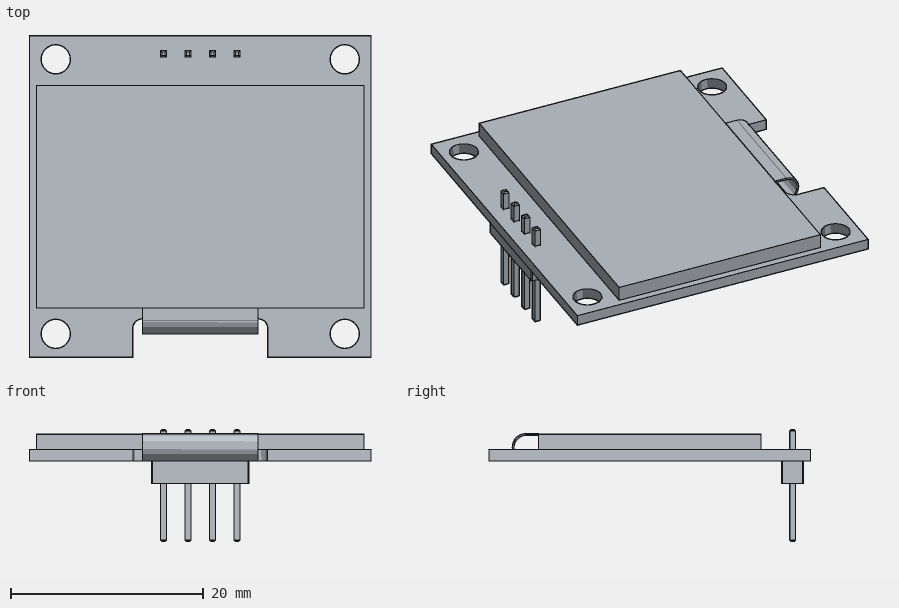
import cadquery as cq


BOARD_X = 35.5
BOARD_Y = 33.4
BOARD_T = 1.2
HOLE_D = 3.0
HOLE_SPACING_X = 30.0
HOLE_SPACING_Y = 28.5
NOTCH_WIDTH = 14.0
NOTCH_DEPTH = 4.0
NOTCH_CORNER_R = 1.0

PANEL_X = 34.0
PANEL_Y = 23.1
PANEL_T = 1.6
PANEL_TOP = BOARD_T + PANEL_T

FLEX_WIDTH = 12.0
FLEX_RISE = 0.05
FLEX_T = 0.2
FLEX_STRAIGHT = 1.3
FLEX_TOP = PANEL_TOP + FLEX_RISE
FLEX_OUTER_R = FLEX_TOP / 2
FLEX_INNER_R = FLEX_OUTER_R - FLEX_T

PIN_COUNT = 4
PITCH = 2.54
PIN_SIZE = 0.64
PIN_LENGTH = 11.6
PIN_TOP = 3.25
PIN_TIP_CHAMFER = 0.15
HEADER_X = PIN_COUNT * PITCH
HEADER_Y = 2.3
HEADER_H = 2.35
HEADER_CHAMFER = 0.1
HEADER_EDGE_DISTANCE = 1.87
HEADER_CENTRE_Y = BOARD_Y / 2 - HEADER_EDGE_DISTANCE

BOARD_FRONT_Y = -BOARD_Y / 2
PANEL_FRONT_Y = -PANEL_Y / 2
NOTCH_BACK_Y = BOARD_FRONT_Y + NOTCH_DEPTH
PIN_POSITIONS = [((i - (PIN_COUNT - 1) / 2) * PITCH, HEADER_CENTRE_Y) for i in range(PIN_COUNT)]


def make_board():
    """Board with corner mounting holes, a front notch and square holes for the pins."""
    board = cq.Workplane("XY").box(BOARD_X, BOARD_Y, BOARD_T, centered=(True, True, False))
    notch = (
        cq.Workplane("XY")
        .center(0, BOARD_FRONT_Y)
        .rect(NOTCH_WIDTH, 2 * NOTCH_DEPTH)
        .extrude(BOARD_T)
        .edges("|Z and >Y")
        .fillet(NOTCH_CORNER_R)
    )
    mounting_holes = (
        cq.Workplane("XY")
        .rect(HOLE_SPACING_X, HOLE_SPACING_Y, forConstruction=True)
        .vertices()
        .circle(HOLE_D / 2)
        .extrude(BOARD_T)
    )
    pin_holes = cq.Workplane("XY").pushPoints(PIN_POSITIONS).rect(PIN_SIZE, PIN_SIZE).extrude(BOARD_T)
    return board.cut(notch).cut(mounting_holes).cut(pin_holes)


def make_panel():
    """Flat display panel lying on the board."""
    return (
        cq.Workplane("XY")
        .workplane(offset=BOARD_T)
        .box(PANEL_X, PANEL_Y, PANEL_T, centered=(True, True, False))
    )


def make_flex():
    """Thin strip that bends half a turn from the panel front edge to the back wall of the notch."""
    bend_y = PANEL_FRONT_Y - FLEX_STRAIGHT
    bend_z = FLEX_OUTER_R
    return (
        cq.Workplane("YZ")
        .moveTo(PANEL_FRONT_Y, FLEX_TOP)
        .lineTo(bend_y, FLEX_TOP)
        .threePointArc((bend_y - FLEX_OUTER_R, bend_z), (bend_y, 0))
        .lineTo(NOTCH_BACK_Y, 0)
        .lineTo(NOTCH_BACK_Y, FLEX_T)
        .lineTo(bend_y, FLEX_T)
        .threePointArc((bend_y - FLEX_INNER_R, bend_z), (bend_y, FLEX_TOP - FLEX_T))
        .lineTo(PANEL_FRONT_Y, FLEX_TOP - FLEX_T)
        .close()
        .extrude(FLEX_WIDTH / 2, both=True)
    )


def make_pin(x, y):
    """Square pin with chamfered tips."""
    return (
        cq.Workplane("XY")
        .box(PIN_SIZE, PIN_SIZE, PIN_LENGTH, centered=(True, True, False))
        .faces("<Z or >Z")
        .chamfer(PIN_TIP_CHAMFER)
        .translate((x, y, PIN_TOP - PIN_LENGTH))
    )


def make_header():
    """Housing block under the board with its row of pins."""
    header = (
        cq.Workplane("XY")
        .box(HEADER_X, HEADER_Y, HEADER_H, centered=(True, True, False))
        .edges("|Z")
        .chamfer(HEADER_CHAMFER)
        .translate((0, HEADER_CENTRE_Y, -HEADER_H))
    )
    for x, y in PIN_POSITIONS:
        header = header.union(make_pin(x, y))
    return header


display_board = make_board().union(make_panel()).union(make_flex())
pin_header = make_header()

result = cq.Compound.makeCompound([display_board.val(), pin_header.val()])